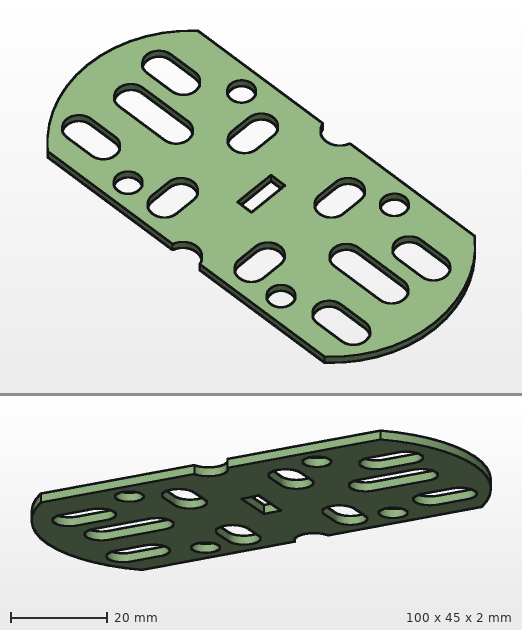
import cadquery as cq

length = 100.0
width = 45.0
thickness = 2.0
end_radius = 30.0
end_center_x = length / 2 - end_radius

notch_radius = 4.0
notch_center_y = width / 2 + 1.0

window_length_x = 4.0
window_length_y = 10.0

hole_diameter = 6.0
hole_x = 22.0
hole_y = 17.0

slot_width = 7.0
middle_slot_length = 20.0
middle_slot_x = 31.0
outer_slot_length = 14.0
outer_slot_x = 36.0
cross_slot_length = 12.0
cross_slot_x = 12.5
upper_row_y = 10.5
lower_row_y = -13.5


def mirrored(x, rows):
    """Points at -x and +x in every row."""
    return [(side * x, y) for side in (-1, 1) for y in rows]


def through_slots(points, slot_length, angle=0):
    return (
        cq.Workplane("XY")
        .pushPoints(points)
        .slot2D(slot_length, slot_width, angle)
        .extrude(thickness)
    )


def through_circles(points, diameter):
    return cq.Workplane("XY").pushPoints(points).circle(diameter / 2).extrude(thickness)


def make_blank():
    left_end = through_circles([(-end_center_x, 0)], 2 * end_radius)
    right_end = through_circles([(end_center_x, 0)], 2 * end_radius)
    band = cq.Workplane("XY").rect(length, width).extrude(thickness)
    return left_end.union(right_end).intersect(band)


slot_rows = [upper_row_y, lower_row_y]
window = cq.Workplane("XY").rect(window_length_x, window_length_y).extrude(thickness)

result = (
    make_blank()
    .cut(through_circles([(0, notch_center_y), (0, -notch_center_y)], 2 * notch_radius))
    .cut(window)
    .cut(through_circles(mirrored(hole_x, [hole_y, -hole_y]), hole_diameter))
    .cut(through_slots(mirrored(middle_slot_x, [0]), middle_slot_length))
    .cut(through_slots(mirrored(outer_slot_x, slot_rows), outer_slot_length))
    .cut(through_slots(mirrored(cross_slot_x, slot_rows), cross_slot_length, 90))
)